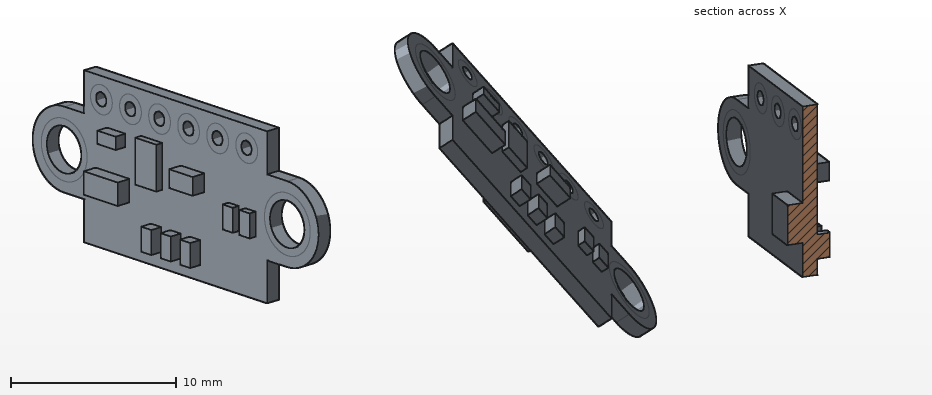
import cadquery as cq


board_width = 16.0
board_height = 11.0
board_thickness = 1.0
ear_radius = 2.75
overall_length = 25.0
ear_offset = overall_length / 2 - ear_radius
mount_hole_diameter = 3.0
mount_pad_diameter = 4.0

pin_count = 6
pin_row_span = 12.7
pin_pitch = pin_row_span / (pin_count - 1)
pin_edge_margin = 1.5
pin_hole_diameter = 0.9
pin_pad_diameter = 1.9
first_pin_x = -board_width / 2 + pin_edge_margin
pin_row_z = board_height / 2 - pin_edge_margin

chip_length = 1.6
chip_width = 0.9
flat_chip_size = (chip_length, 0.85, 0.82)
tall_chip_size = (chip_width, chip_length, 0.82)
low_chip_size = (chip_width, chip_length, 0.5)
controller_size = (1.85, 3.0, 0.5)
regulator_size = (2.05, 1.2, 1.0)
capacitor_size = (2.95, 1.5, 1.0)
sensor_size = (4.5, 2.6, 1.0)

flat_chip_center = (-5.18, 1.9)
controller_center = (-2.08, 1.02)
regulator_center = (1.5, 0.88)
capacitor_center = (-5.5, -1.22)
sensor_center = (0.0, -2.0)
low_chip_z = -0.68
low_chip_positions = (5.08, 6.55)
tall_chip_z = -3.68
tall_chip_spacing = 1.7

FRONT = -1
BACK = 1
back_y = board_thickness / 2

mount_points = [(-ear_offset, 0), (ear_offset, 0)]
pin_points = [(first_pin_x + i * pin_pitch, pin_row_z) for i in range(pin_count)]


def cylinders(points, diameter):
    """Cylinders along Y through the full board thickness."""
    plane = cq.Workplane("XZ", origin=(0, back_y, 0))
    return plane.pushPoints(points).circle(diameter / 2).extrude(board_thickness)


def block(size, center, side):
    """Component standing on the board face on the given Y side."""
    width, height, depth = size
    x, z = center
    y = side * (board_thickness + depth) / 2
    return cq.Workplane("XY").box(width, depth, height).translate((x, y, z))


board = cq.Workplane("XY").box(board_width, board_thickness, board_height)
ear_strip = (
    cq.Workplane("XZ", origin=(0, back_y, 0))
    .slot2D(overall_length, 2 * ear_radius)
    .extrude(board_thickness)
)
board = board.union(ear_strip)

front_components = [
    (flat_chip_size, flat_chip_center),
    (controller_size, controller_center),
    (regulator_size, regulator_center),
    (capacitor_size, capacitor_center),
]
for chip_x in low_chip_positions:
    front_components.append((low_chip_size, (chip_x, low_chip_z)))
for chip_x in (-tall_chip_spacing, 0, tall_chip_spacing):
    front_components.append((tall_chip_size, (chip_x, tall_chip_z)))

for size, center in front_components:
    board = board.union(block(size, center, FRONT))
board = board.union(block(sensor_size, sensor_center, BACK))

board = board.union(cylinders(mount_points, mount_pad_diameter), clean=False)
board = board.union(cylinders(pin_points, pin_pad_diameter), clean=False)

board = board.cut(cylinders(mount_points, mount_hole_diameter), clean=False)
board = board.cut(cylinders(pin_points, pin_hole_diameter), clean=False)

result = board